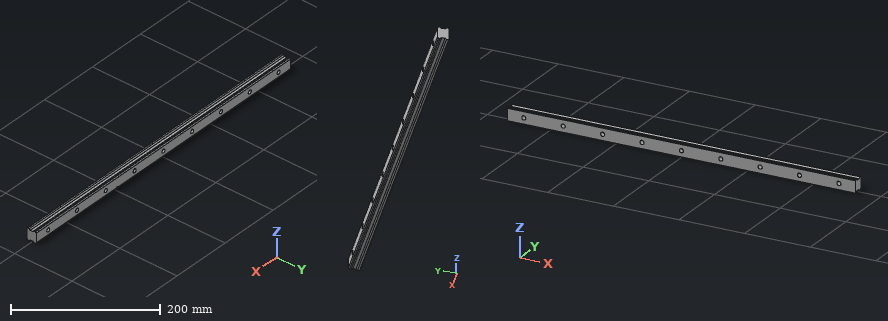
import cadquery as cq

length = 530.0
height = 16.5
width = 20.0

hole_diameter = 6.0
hole_pitch = 60.0
hole_count = 9

base_chamfer = 1.0
base_height = 3.9

groove_depth = 1.95
groove_floor = 4.4
groove_wall_run = 2.5
groove_wall_radius = 4.3

head_land = 1.1
taper_drop = 0.15
hollow_run = 1.65
hollow_drop = 1.5
hollow_radius = 2.3

half_height = height / 2
half_width = width / 2
floor_z = half_width - groove_depth
groove_start_y = -half_height + base_height
floor_start_y = groove_start_y + groove_depth
floor_end_y = floor_start_y + groove_floor
land_start_y = floor_end_y + groove_wall_run
land_end_y = land_start_y + head_land
hollow_start_y = half_height - hollow_run
hollow_start_z = half_width - taper_drop
head_half_width = hollow_start_z - hollow_drop

base_corners = [
    (-half_height, half_width - base_chamfer),
    (-half_height + base_chamfer, half_width),
    (groove_start_y, half_width),
    (floor_start_y, floor_z),
    (floor_end_y, floor_z),
]
head_corners = [
    (land_start_y, half_width),
    (land_end_y, half_width),
    (hollow_start_y, hollow_start_z),
]
head_face_end = (half_height, head_half_width)


def mirrored(corners):
    """The same corners on the -Z side, in reverse order."""
    return [(y, -z) for y, z in reversed(corners)]


def draw_lines(outline, corners):
    """Continue the outline with straight lines through the corners."""
    for y, z in corners:
        outline = outline.lineTo(y, z)
    return outline


def make_rail():
    """Extrude the section, symmetric about the XY plane, along the whole length."""
    lower_head = mirrored(head_corners)
    lower_base = mirrored(base_corners)

    outline = cq.Workplane("YZ").moveTo(*base_corners[0])
    outline = draw_lines(outline, base_corners[1:])
    outline = outline.radiusArc(head_corners[0], -groove_wall_radius)
    outline = draw_lines(outline, head_corners[1:])
    outline = outline.radiusArc(head_face_end, -hollow_radius)
    outline = draw_lines(outline, mirrored([head_face_end]))
    outline = outline.radiusArc(lower_head[0], -hollow_radius)
    outline = draw_lines(outline, lower_head[1:])
    outline = outline.radiusArc(lower_base[0], -groove_wall_radius)
    outline = draw_lines(outline, lower_base[1:])
    return outline.close().extrude(length / 2, both=True)


def make_hole_cutters():
    """Row of cylinders along Y, centred on the rail length."""
    row = cq.Workplane("XZ").rarray(hole_pitch, 1, hole_count, 1)
    return row.circle(hole_diameter / 2).extrude(height, both=True)


result = make_rail().cut(make_hole_cutters())